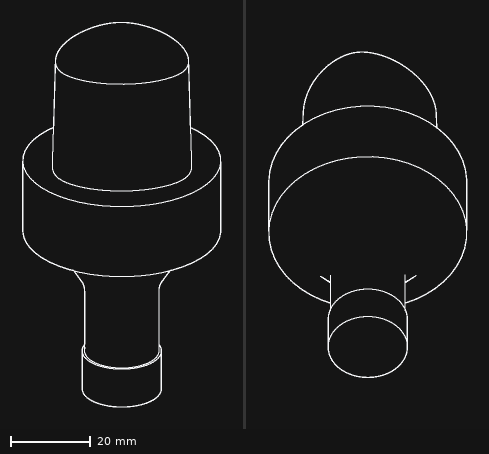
import cadquery as cq
import math

total_height = 95.0
pilot_height = 10.8
cone_bottom_z = 30.2
flange_bottom_z = 45.0
flange_height = 19.95
flange_top_z = flange_bottom_z + flange_height

pilot_radius = 20.0 / 2
neck_radius = 18.8 / 2
flange_radius = 50.0 / 2
cone_top_radius = 18.6

neck_blend_radius = 8.1
flange_blend_radius = 2.5

shank_base_radius = 17.6
shank_top_radius = 16.8
lobe_height = 1.0
outline_points = 48


def lobed_point(mean_radius, angle):
    """Point on a constant-width curve with one of its three lobes facing -Y."""
    reach = mean_radius + lobe_height * math.cos(3 * angle)
    drift = -3 * lobe_height * math.sin(3 * angle)
    toward_lobe = reach * math.cos(angle) - drift * math.sin(angle)
    across_lobe = reach * math.sin(angle) + drift * math.cos(angle)
    return across_lobe, -toward_lobe


def lobed_outline(mean_radius):
    step = 2 * math.pi / outline_points
    return [lobed_point(mean_radius, i * step) for i in range(outline_points)]


def turned_body():
    """Pilot, neck, blended cone and flange, revolved about Z."""
    cone_angle = math.atan2(cone_top_radius - neck_radius, flange_bottom_z - cone_bottom_z)
    cone_out, cone_up = math.sin(cone_angle), math.cos(cone_angle)

    neck_setback = neck_blend_radius * math.tan(cone_angle / 2)
    flange_setback = flange_blend_radius * math.tan((math.pi / 2 - cone_angle) / 2)

    neck_top = (neck_radius, cone_bottom_z - neck_setback)
    cone_start = (neck_radius + neck_setback * cone_out, cone_bottom_z + neck_setback * cone_up)
    cone_end = (cone_top_radius - flange_setback * cone_out, flange_bottom_z - flange_setback * cone_up)
    flange_start = (cone_top_radius + flange_setback, flange_bottom_z)

    return (
        cq.Workplane("XZ")
        .lineTo(pilot_radius, 0)
        .lineTo(pilot_radius, pilot_height)
        .lineTo(neck_radius, pilot_height)
        .lineTo(*neck_top)
        .tangentArcPoint(cone_start, relative=False)
        .lineTo(*cone_end)
        .tangentArcPoint(flange_start, relative=False)
        .lineTo(flange_radius, flange_bottom_z)
        .lineTo(flange_radius, flange_top_z)
        .lineTo(0, flange_top_z)
        .close()
        .revolve(360, (0, 0, 0), (0, 1, 0))
    )


def shank():
    """Tapered shank with a three-lobed section, standing on the flange."""
    return (
        cq.Workplane("XY", origin=(0, 0, flange_top_z))
        .spline(lobed_outline(shank_base_radius), periodic=True)
        .close()
        .workplane(offset=total_height - flange_top_z)
        .spline(lobed_outline(shank_top_radius), periodic=True)
        .close()
        .loft(ruled=True)
    )


result = turned_body().union(shank())